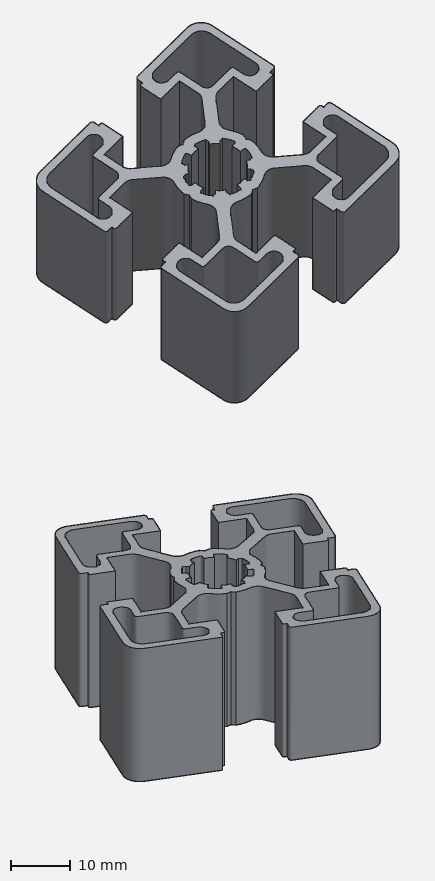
import cadquery as cq

width = 45.05
length = 25.4
half_width = width / 2
corner_radius = 3.0

wall = 1.5
mouth_half = 5.8
lip_half = 5.05
step_depth = 1.5
lip_depth = 6.1
slot_half = 10.0
web_offset = 1.65
mouth_fillet = 0.5
step_fillet = 0.3
web_outer_fillet = 2.0
web_ring_fillet = 2.0

cavity_corner_radius = 2.25
cavity_end = 7.45
cavity_inner_fillet = 1.25
cavity_step_fillet = 0.5

ring_radius = 8.0
notch_half = 0.8
notch_depth = 0.45
bore_radius = 6.13
tooth_tip_radius = 5.0
tooth_tip_half = 0.9
tooth_root_half = 1.05
tooth_root_fillet = 0.3
diagonal_root = 3.2

step_level = half_width - step_depth
lip_level = half_width - lip_depth
web_level = slot_half + web_offset
cavity_outer = half_width - wall
cavity_inner = slot_half + wall
cavity_lip = lip_level + wall


def prism(points):
    return cq.Workplane("XY").polyline(points).close().extrude(length)


def cylinder(radius):
    return cq.Workplane("XY").circle(radius).extrude(length)


def box(x_min, x_max, y_min, y_max):
    return prism([(x_min, y_min), (x_max, y_min), (x_max, y_max), (x_min, y_max)])


def four_around(body):
    """Repeat a body every quarter turn about the Z axis."""
    copies = body
    for turn in range(1, 4):
        copies = copies.union(body.rotate((0, 0, 0), (0, 0, 1), 90 * turn))
    return copies


def fillet_at(body, x, y, radius):
    """Round the vertical edge that passes through (x, y)."""
    near = 0.023
    edge = cq.selectors.BoxSelector((x - near, y - near, 0), (x + near, y + near, length))
    return body.edges("|Z").edges(edge).fillet(radius)


def slot_cutter():
    """Empty space of the slot on the +Y side, down to the centre ring."""
    right_half = [
        (mouth_half, half_width),
        (mouth_half, step_level),
        (lip_half, step_level),
        (lip_half, lip_level),
        (slot_half, lip_level),
        (slot_half, web_level),
        (0, web_offset),
    ]
    left_half = [(-x, y) for x, y in reversed(right_half[:-1])]
    cutter = prism(right_half + left_half).cut(cylinder(ring_radius))

    ring_x = ((2 * ring_radius**2 - web_offset**2) ** 0.5 - web_offset) / 2
    ring_y = ring_x + web_offset
    for side in (-1, 1):
        cutter = fillet_at(cutter, side * ring_x, ring_y, web_ring_fillet)
        cutter = fillet_at(cutter, side * slot_half, web_level, web_outer_fillet)
        cutter = fillet_at(cutter, side * lip_half, step_level, step_fillet)

    notch_top = (ring_radius**2 - notch_half**2) ** 0.5
    notch = prism([
        (-notch_half, notch_top),
        (0, ring_radius - notch_depth),
        (notch_half, notch_top),
        (0, ring_radius + notch_depth),
    ])
    return cutter.union(notch)


def cavity_cutter():
    """L-shaped hollow of the +X +Y corner with a rounded end on each arm."""
    arm_radius = (cavity_outer - cavity_lip) / 2
    arm_middle = (cavity_outer + cavity_lip) / 2
    arm_start = cavity_end + arm_radius
    cutter = (
        cq.Workplane("XY")
        .moveTo(cavity_outer, cavity_outer)
        .lineTo(arm_start, cavity_outer)
        .threePointArc((cavity_end, arm_middle), (arm_start, cavity_lip))
        .lineTo(cavity_inner, cavity_lip)
        .lineTo(cavity_inner, cavity_inner)
        .lineTo(cavity_lip, cavity_inner)
        .lineTo(cavity_lip, arm_start)
        .threePointArc((arm_middle, cavity_end), (cavity_outer, arm_start))
        .close()
        .extrude(length)
    )
    cutter = fillet_at(cutter, cavity_outer, cavity_outer, cavity_corner_radius)
    cutter = fillet_at(cutter, cavity_inner, cavity_inner, cavity_inner_fillet)
    cutter = fillet_at(cutter, cavity_inner, cavity_lip, cavity_step_fillet)
    return fillet_at(cutter, cavity_lip, cavity_inner, cavity_step_fillet)


def bore_cutter():
    """Round bore less eight tapered teeth; the diagonal teeth have wider roots."""
    root_y = (bore_radius**2 - tooth_root_half**2) ** 0.5
    straight_tooth = prism([
        (-tooth_tip_half, 0),
        (tooth_tip_half, 0),
        (tooth_tip_half, tooth_tip_radius),
        (tooth_root_half, root_y),
        (tooth_root_half, bore_radius),
        (-tooth_root_half, bore_radius),
        (-tooth_root_half, root_y),
        (-tooth_tip_half, tooth_tip_radius),
    ])
    diagonal_tooth = straight_tooth.rotate((0, 0, 0), (0, 0, 1), 45)
    diagonal_base = box(diagonal_root, bore_radius, diagonal_root, bore_radius)
    teeth = four_around(straight_tooth)
    teeth = teeth.union(four_around(diagonal_tooth))
    teeth = teeth.union(four_around(diagonal_base))
    cutter = cylinder(bore_radius).cut(teeth).union(cylinder(tooth_tip_radius))
    for side in (-1, 1):
        for end in (-1, 1):
            cutter = fillet_at(cutter, side * tooth_root_half, end * root_y, tooth_root_fillet)
            cutter = fillet_at(cutter, end * root_y, side * tooth_root_half, tooth_root_fillet)
    return cutter


profile = box(-half_width, half_width, -half_width, half_width)
profile = profile.edges("|Z").fillet(corner_radius)
profile = profile.cut(four_around(slot_cutter()))

for side in (-1, 1):
    for face in (-1, 1):
        profile = fillet_at(profile, side * mouth_half, face * half_width, mouth_fillet)
        profile = fillet_at(profile, face * half_width, side * mouth_half, mouth_fillet)

profile = profile.cut(four_around(cavity_cutter()))
result = profile.cut(bore_cutter())